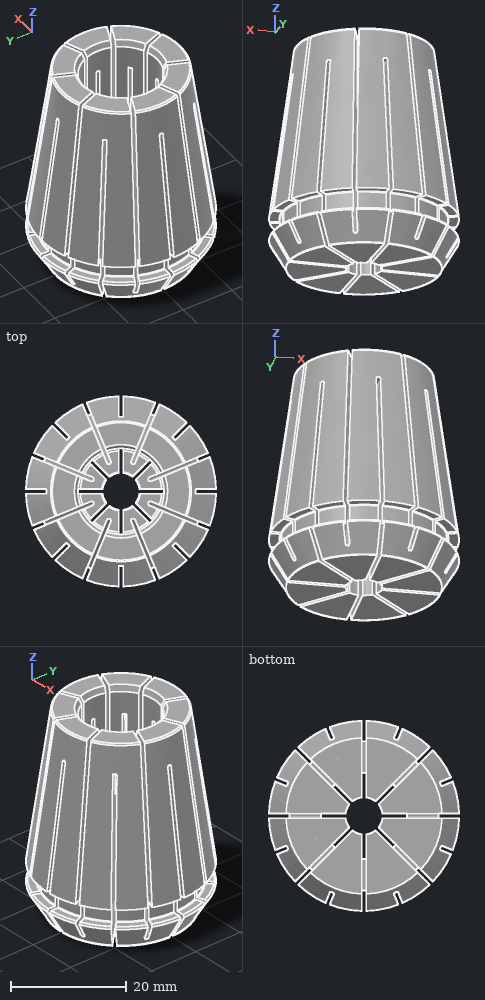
import cadquery as cq
import math

height = 40.0
max_diameter = 33.0
max_radius = max_diameter / 2

nose_radius = 13.5
nose_land = 0.15
nose_cone_top = 5.1
nose_slope = (max_radius - nose_radius) / (nose_cone_top - nose_land)
flange_top = 5.5
flange_top_radius = 16.15
groove_radius = 14.6
groove_corner = 0.1
taper_bottom = 9.1
taper_angle = 8.0
rim_chamfer = 0.3
rim_chamfer_bottom = height - rim_chamfer
taper_top_radius = max_radius - (rim_chamfer_bottom - taper_bottom) * math.tan(math.radians(taper_angle))

grip_radius = 3.2
grip_chamfer = 0.15
relief_radius = 7.45
floor_chamfer = 0.4
mouth_radius = 8.1
mouth_angle = 30.0
mouth_depth = (mouth_radius - relief_radius) / math.tan(math.radians(mouth_angle))

slot_count = 8
slot_pitch = 360.0 / slot_count
slot_width = 0.75
slot_reach = 2 * height
nose_slot_top = 34.4

rear_slot_angle = 70.0
rear_slot_bottom = 1.5
rear_slot_bottom_radius = nose_radius + (rear_slot_bottom - nose_land) * nose_slope
rear_slot_inner_radius = 5.1
rear_slot_rise = (rear_slot_bottom_radius - rear_slot_inner_radius) * math.tan(math.radians(rear_slot_angle))
relief_floor = rear_slot_bottom + rear_slot_rise


def revolved_body():
    """Ring-shaped section turned about the Z axis."""
    outline = [
        (grip_radius, 0),
        (nose_radius, 0),
        (nose_radius, nose_land),
        (max_radius, nose_cone_top),
        (flange_top_radius, flange_top),
        (groove_radius + groove_corner, flange_top),
        (groove_radius, flange_top + groove_corner),
        (groove_radius, taper_bottom - groove_corner),
        (groove_radius + groove_corner, taper_bottom),
        (max_radius, taper_bottom),
        (taper_top_radius, rim_chamfer_bottom),
        (taper_top_radius - rim_chamfer, height),
        (mouth_radius, height),
        (relief_radius, height - mouth_depth),
        (relief_radius, relief_floor + floor_chamfer),
        (relief_radius - floor_chamfer, relief_floor),
        (grip_radius + grip_chamfer, relief_floor),
        (grip_radius, relief_floor - grip_chamfer),
    ]
    return cq.Workplane("XZ").polyline(outline).close().revolve(360, (0, 0), (0, 1))


def round_ended_slot(plane):
    """Slot extruded both ways from a plane; its round end touches the plane's origin and opens toward +y."""
    half_width = slot_width / 2
    return (
        cq.Workplane(plane)
        .moveTo(-half_width, slot_reach)
        .lineTo(-half_width, half_width)
        .threePointArc((0, 0), (half_width, half_width))
        .lineTo(half_width, slot_reach)
        .close()
        .extrude(slot_reach, both=True)
    )


def cut_slot_ring(body, slot, first_angle, count):
    """Cut evenly spaced copies of a slot around the Z axis."""
    for index in range(count):
        angle = first_angle + index * slot_pitch
        body = body.cut(slot.rotate((0, 0, 0), (0, 0, 1), angle))
    return body


nose_slot_plane = cq.Plane(origin=(0, 0, nose_slot_top), xDir=(0, -1, 0), normal=(1, 0, 0))
nose_slot = round_ended_slot(nose_slot_plane)

floor_run = math.cos(math.radians(rear_slot_angle))
floor_climb = math.sin(math.radians(rear_slot_angle))
rear_slot_plane = cq.Plane(
    origin=(rear_slot_bottom_radius, 0, rear_slot_bottom),
    xDir=(0, -1, 0),
    normal=(-floor_run, 0, floor_climb),
)
rear_slot = round_ended_slot(rear_slot_plane)

result = revolved_body()
result = cut_slot_ring(result, nose_slot, 0, slot_count // 2)
result = cut_slot_ring(result, rear_slot, slot_pitch / 2, slot_count)